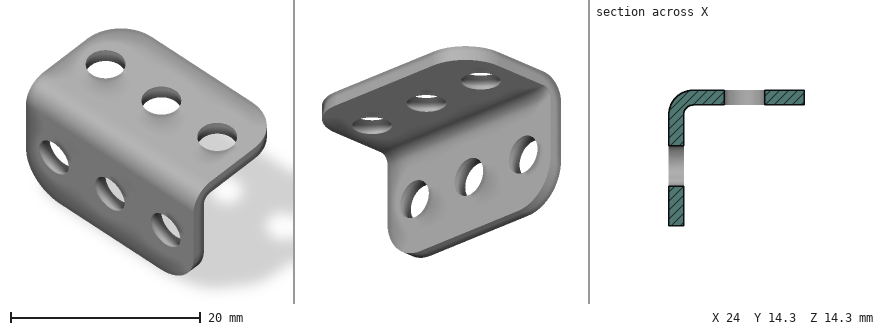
import cadquery as cq

width = 24.0
leg_length = 14.3
thickness = 1.6
inner_bend_radius = 1.0
outer_bend_radius = inner_bend_radius + thickness
corner_radius = 4.8
hole_diameter = 4.2
hole_pitch = 8.0
hole_count = 3
hole_offset = 8.0


def make_bent_sheet():
    """L-shaped sheet: one leg along +Y, one along -Z, outer faces at Y = 0 and Z = 0."""
    profile = (
        cq.Workplane("YZ")
        .moveTo(leg_length, 0)
        .lineTo(outer_bend_radius, 0)
        .radiusArc((0, -outer_bend_radius), -outer_bend_radius)
        .lineTo(0, -leg_length)
        .lineTo(thickness, -leg_length)
        .lineTo(thickness, -outer_bend_radius)
        .radiusArc((outer_bend_radius, -thickness), inner_bend_radius)
        .lineTo(leg_length, -thickness)
        .close()
    )
    return profile.extrude(width / 2, both=True)


def round_leg_corners(sheet):
    """Round the two free corners of each leg."""
    sheet = sheet.faces(">Y").edges("|Z").fillet(corner_radius)
    return sheet.faces("<Z").edges("|Y").fillet(corner_radius)


def make_hole_row(plane, row_position):
    """Row of cylinders, spaced along X and centred, running through one leg."""
    row = cq.Workplane(plane).center(0, row_position).rarray(hole_pitch, 1, hole_count, 1)
    return row.circle(hole_diameter / 2).extrude(-thickness)


top_leg_holes = make_hole_row("XY", hole_offset)
front_leg_holes = make_hole_row("XZ", -hole_offset)

result = round_leg_corners(make_bent_sheet()).cut(top_leg_holes).cut(front_leg_holes)